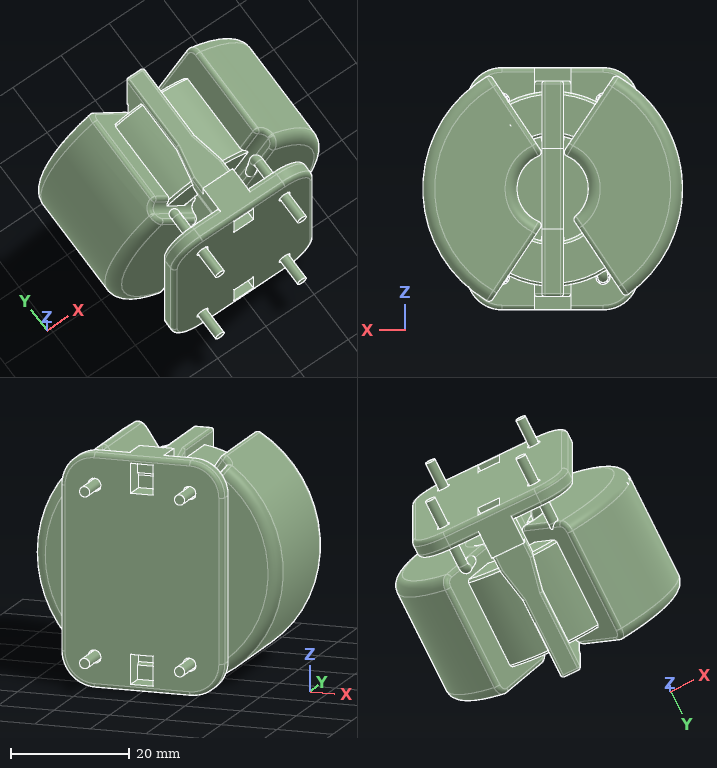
import cadquery as cq
import math


plate_width = 29.15
plate_height = 41.0
plate_thickness = 3.2
plate_corner_radius = 6.02
plate_edge_fillet = 0.8
latch_slot_width = 4.05
latch_slot_inner_z = 14.05
latch_slot_outer_z = 19.3
latch_step_z = 16.8
latch_step_depth = 3.65
latch_ramp = 0.5

pin_radius = 0.9
pin_x = 8.505
pin_z = 15.0
pin_protrusion = 5.05
pin_hole_radius = 1.15
pin_bend_radius = 0.92
pin_bend_sideways = 0.2
pin_bent_length = 4.4

winding_radius = 22.0
winding_bore_radius = 6.02
winding_front = 7.55
winding_length = 22.85
winding_round = 2.02
winding_end_angle = 56.3
winding_end_overhang = 1.95
winding_step_depth = 3.35
winding_step_root_fillet = 1.55
winding_end_fillet = 0.75

core_radius = 16.5
winding_wall = 3.0
core_edge_bevel = 0.5

divider_back = 31.95
divider_height = 36.5
divider_half_width = 1.825
foot_half_width = 3.08
foot_taper_start = 10.75
foot_taper_end = 17.0
foot_inner_z = 14.73
web_end_z = 7.95
divider_notch_half_height = 6.8
divider_notch_depth = 0.3
divider_edge_fillet = 0.5

step_shelf = winding_front + winding_step_depth


def block(x_range, y_range, z_range):
    """Axis-aligned box given by its limits along each axis."""
    sizes = [high - low for low, high in (x_range, y_range, z_range)]
    return cq.Workplane("XY").box(*sizes, centered=False).translate((x_range[0], y_range[0], z_range[0]))


def facing_y(start):
    """Plane with X right and Z up, placed at the given Y; extrude by a negative length to go to +Y."""
    return cq.Workplane("XZ", origin=(0, start, 0))


def mirrored_in_x(half):
    """Closed outline from its right half, listed from bottom to top."""
    return half + [(-x, y) for x, y in reversed(half)]


def make_plate():
    plate = facing_y(0).rect(plate_width, plate_height).extrude(-plate_thickness)
    plate = plate.edges("|Y").fillet(plate_corner_radius)
    return plate.faces("<Y or >Y").edges().fillet(plate_edge_fillet)


def make_wall(back, height):
    """Wall of the divider: it tapers from the foot width to a narrow blade with rounded back edges."""
    plan_half = [
        (foot_half_width, winding_front),
        (foot_half_width, foot_taper_start),
        (divider_half_width, foot_taper_end),
        (divider_half_width, back),
    ]
    wall = cq.Workplane("XY").polyline(mirrored_in_x(plan_half)).close()
    wall = wall.extrude(height / 2, both=True)
    return wall.edges("|Z and >Y").fillet(divider_edge_fillet)


def make_divider():
    half_plate = plate_height / 2
    front_half = [
        (foot_half_width, -half_plate),
        (foot_half_width, -foot_inner_z),
        (divider_half_width, -web_end_z),
        (divider_half_width, web_end_z),
        (foot_half_width, foot_inner_z),
        (foot_half_width, half_plate),
    ]
    front_outline = facing_y(0).polyline(mirrored_in_x(front_half)).close()
    envelope = front_outline.extrude(-divider_back)

    middle_back = divider_back - divider_notch_depth
    notch = block(
        (-foot_half_width, foot_half_width),
        (foot_taper_end, divider_back),
        (-divider_notch_half_height, divider_notch_half_height),
    )
    wall = make_wall(divider_back, divider_height)
    wall = wall.faces("<Z or >Z").edges("not <Y").fillet(divider_edge_fillet)
    wall = wall.cut(notch).union(make_wall(middle_back, 2 * divider_notch_half_height))

    stand = block(
        (-foot_half_width, foot_half_width),
        (plate_edge_fillet, winding_front),
        (-half_plate, half_plate),
    )
    return wall.union(stand).intersect(envelope)


def make_latch_slot(side):
    """Latch slot from the solder side: a shallow outer floor, a ramp and a deeper inner floor."""
    deep = latch_step_depth + latch_ramp
    outline = [
        (0, latch_slot_inner_z),
        (deep, latch_slot_inner_z),
        (deep, latch_step_z - latch_ramp),
        (latch_step_depth, latch_step_z),
        (latch_step_depth, latch_slot_outer_z),
        (0, latch_slot_outer_z),
    ]
    slot = cq.Workplane("YZ").polyline([(y, side * z) for y, z in outline]).close()
    return slot.extrude(latch_slot_width / 2, both=True)


def make_core():
    core = facing_y(winding_front + winding_wall).circle(core_radius)
    core = core.circle(winding_bore_radius + winding_wall)
    core = core.extrude(-(winding_length - 2 * winding_wall))
    return core.edges().chamfer(core_edge_bevel)


def beyond_end(overhang, upper, step_back=None):
    """Space past an end of the +X winding; with step_back it stops at a shelf there with a round root."""
    span = 2 * winding_radius
    space = block((-span, span), (0, step_back or divider_back), (overhang, span))
    if step_back:
        space = space.edges(">Y and <Z").fillet(winding_step_root_fillet)
    space = space.rotate((0, 0, 0), (0, 1, 0), -winding_end_angle)
    return space if upper else space.mirror("XY")


def is_inside_corner(edge):
    """True for the straight edges that bound the shelf of a step and its round root."""
    root_depth = step_shelf - edge.Center().y
    return edge.geomType() == "LINE" and -0.05 < root_depth < winding_step_root_fillet + 0.05


def make_winding(lower_overhang):
    """The +X winding: a full upper end with a step at the front, and a plain lower end."""
    ring = facing_y(winding_front).circle(winding_radius).circle(winding_bore_radius)
    winding = ring.extrude(-winding_length).edges().fillet(winding_round)

    winding = winding.cut(beyond_end(lower_overhang, upper=False))
    winding = winding.faces("%PLANE and (not |Y)").edges().fillet(winding_end_fillet)

    winding = winding.cut(beyond_end(winding_end_overhang, upper=True))
    winding = winding.cut(beyond_end(0, upper=True, step_back=step_shelf))
    for face_position in (">Y", "<Y"):
        flat_faces = winding.faces("%PLANE and (not |Y)").vals()
        end_faces = winding.newObject([face for face in flat_faces if face.Center().z > 0])
        outline = end_faces.faces(face_position).edges().vals()
        outer_edges = [edge for edge in outline if not is_inside_corner(edge)]
        winding = winding.newObject(outer_edges).fillet(winding_end_fillet)
    return winding


def make_pin(x_side, z_side):
    """Lead pin that bends over at the front of the winding and runs into its stepped end."""
    drop = math.hypot(1, pin_bend_sideways)
    toward_winding = cq.Vector(-x_side * pin_bend_sideways / drop, 0, -z_side / drop)
    along = cq.Vector(0, 1, 0)
    tip = cq.Vector(x_side * pin_x, -pin_protrusion, z_side * pin_z)
    bend_start = cq.Vector(tip.x, winding_front, tip.z)
    bend_centre = bend_start + toward_winding * pin_bend_radius
    bend_middle = bend_centre + (along - toward_winding) * (pin_bend_radius / math.sqrt(2))
    bend_end = bend_centre + along * pin_bend_radius
    path = cq.Wire.assembleEdges([
        cq.Edge.makeLine(tip, bend_start),
        cq.Edge.makeThreePointArc(bend_start, bend_middle, bend_end),
        cq.Edge.makeLine(bend_end, bend_end + toward_winding * pin_bent_length),
    ])
    section = cq.Workplane(cq.Plane(tip, normal=along)).circle(pin_radius)
    return section.sweep(path)


base = make_plate().union(make_divider())
for side in (1, -1):
    base = base.cut(make_latch_slot(side))
pin_holes = facing_y(0).rect(2 * pin_x, 2 * pin_z, forConstruction=True).vertices().circle(pin_hole_radius)
base = base.cut(pin_holes.extrude(-plate_thickness))

right_winding = make_winding(lower_overhang=winding_end_overhang)
left_winding = make_winding(lower_overhang=0).mirror("YZ")

result = base.union(make_core()).union(right_winding).union(left_winding)
for x_side in (1, -1):
    for z_side in (1, -1):
        result = result.union(make_pin(x_side, z_side))